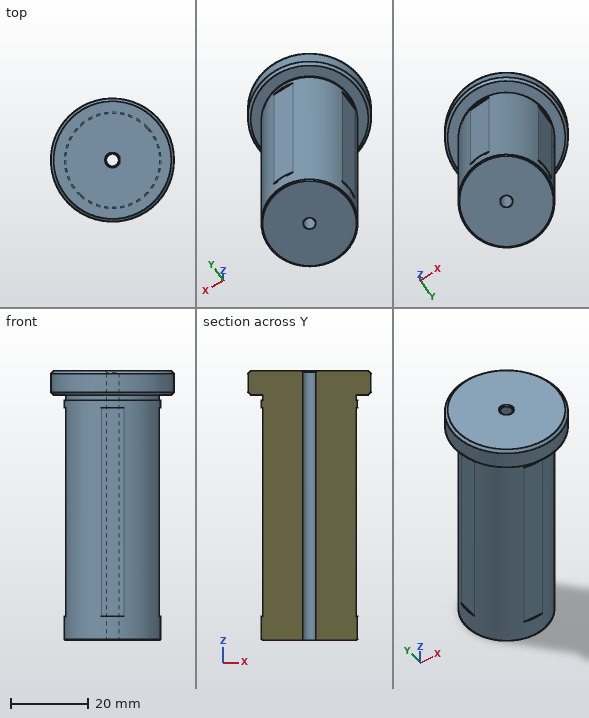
import cadquery as cq

total_length = 69.85
head_diameter = 32.0
head_height = 6.35
head_chamfer = 0.8

shank_diameter = 25.0
shank_end_chamfer = 0.35
groove_width = 1.3
groove_depth = 0.35

flat_count = 4
flat_width = 5.95
flat_depth = 0.35
flat_bottom = 6.2
flat_top = 60.2

hole_diameter = 3.2
hole_chamfer = 0.35

head_bottom = total_length - head_height
shank_radius = shank_diameter / 2


def make_shank():
    """Cylinder from Z = 0 up to the groove, chamfered at its free end."""
    shank_length = head_bottom - groove_width
    shank = cq.Workplane("XY").circle(shank_radius).extrude(shank_length)
    return shank.faces("<Z").chamfer(shank_end_chamfer)


def make_neck():
    """Reduced neck forming the groove between shank and head."""
    neck = cq.Workplane("XY").workplane(offset=head_bottom - groove_width)
    return neck.circle(shank_radius - groove_depth).extrude(groove_width)


def make_head():
    """Round head with both rims chamfered."""
    head = cq.Workplane("XY").workplane(offset=head_bottom)
    head = head.circle(head_diameter / 2).extrude(head_height)
    return head.faces("<Z or >Z").chamfer(head_chamfer)


def cut_flats(body):
    """Cut equally spaced flats, the first facing +X."""
    flat_distance = shank_radius - flat_depth
    cutter = cq.Workplane("XY").box(
        shank_radius, flat_width, flat_top - flat_bottom, centered=(False, True, False)
    ).translate((flat_distance, 0, flat_bottom))
    for index in range(flat_count):
        angle = index * 360 / flat_count
        body = body.cut(cutter.rotate((0, 0, 0), (0, 0, 1), angle))
    return body


def cut_hole(body):
    """Drill the axial hole and chamfer its mouth in the head."""
    body = body.faces(">Z").workplane(origin=(0, 0, 0)).hole(hole_diameter)
    return body.faces(">Z").edges(cq.selectors.RadiusNthSelector(0)).chamfer(hole_chamfer)


body = make_shank().union(make_neck()).union(make_head())
result = cut_hole(cut_flats(body))